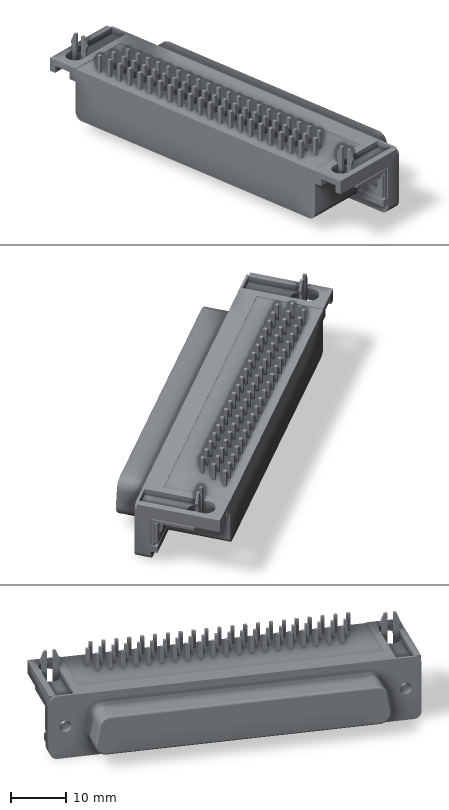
import cadquery as cq
import math

LENGTH = 69.4
HEIGHT = 12.5
DEPTH = 22.0

FLANGE_REAR = 13.1
FLANGE_FRONT = 16.2
FLANGE_BOTTOM_RADIUS = 1.4
FACEPLATE_THICKNESS = 0.5
FACEPLATE_TOP_RADIUS = 1.25

BODY_LENGTH = 57.2
BODY_BOTTOM = 2.1
BODY_RADIUS = 1.4
WING_BOTTOM = 9.8
LEDGE_TOP = BODY_BOTTOM + BODY_RADIUS
LEDGE_REAR = 11.9

STEP_DEPTH = 0.15
STEP_FRONT = 12.55

SHELL_BOTTOM = 2.5
SHELL_TOP = 10.1
SHELL_HALF_LENGTH = 27.6
SHELL_RADIUS = 2.1
SHELL_SIDE_ANGLE = 10.0
SHELL_LIP_RADIUS = 0.4
SHELL_ROOT_RADIUS = 0.5

LOCK_X = 31.8
LOCK_HOLE_Z = 6.3
LOCK_HOLE_RADIUS = 1.45
FLANGE_HOLE_RADIUS = 1.1
CHANNEL_WIDTH = 3.5
CHANNEL_TOP = 11.25
RECESS_FLOOR = 11.2
SLOT_REAR = 1.8
SLOT_FRONT = 7.15
LOCK_WIDTH = 5.55
LOCK_SHEET = 0.6
LOCK_TOP = 9.5
PAD_THICKNESS = 0.55
PAD_WIDTH = 5.4
PAD_CORNER = 0.35
PAD_LIFT = 0.2
PRONG_REAR = 4.5
PRONG_THICKNESS = 0.55
PRONG_STEP = 0.4
PRONG_TIP = 16.3
PRONG_GAP = 1.2
PRONG_SHANK_X = 1.6
PRONG_BARB_X = 1.9
PRONG_TIP_X = 1.1
BARB_START = 13.3
BARB_PEAK = 14.45

PIN_SIZE = 0.6
PIN_TOP = 15.8
PIN_FIELD_LENGTH = 49.35
PIN_ROW_SPACING = 2.5
PIN_REAR_ROW_Y = 2.15
PIN_ROW_COUNTS = (21, 21, 20)
PIN_PITCH = PIN_FIELD_LENGTH / (PIN_ROW_COUNTS[0] - 0.5)
PIN_ROOT = 0.7


def block(x0, x1, y0, y1, z0, z1):
    """Box between two corners."""
    return cq.Workplane("XY").box(x1 - x0, y1 - y0, z1 - z0, centered=False).translate((x0, y0, z0))


def both_ends(make):
    """Feature built at the -X end, joined with its mirror image at the +X end."""
    left = make()
    return left.union(left.mirror("YZ"))


def make_flange():
    half = LENGTH / 2
    flange = block(-half, half, FLANGE_REAR, FLANGE_FRONT - FACEPLATE_THICKNESS, 0, HEIGHT)
    flange = flange.edges("|Y and <Z").fillet(FLANGE_BOTTOM_RADIUS)
    faceplate = block(-half, half, FLANGE_FRONT - FACEPLATE_THICKNESS, FLANGE_FRONT, 0, HEIGHT)
    faceplate = faceplate.edges("|Y and <Z").fillet(FLANGE_BOTTOM_RADIUS)
    faceplate = faceplate.edges("|Y and >Z").fillet(FACEPLATE_TOP_RADIUS)
    return flange.union(faceplate)


def make_body():
    half = BODY_LENGTH / 2
    body = block(-half, half, 0, FLANGE_REAR, BODY_BOTTOM, HEIGHT)
    body = body.edges("|Y and <Z").fillet(BODY_RADIUS)
    wings = block(-LENGTH / 2, LENGTH / 2, 0, FLANGE_REAR, WING_BOTTOM, HEIGHT)
    ledge = block(-LENGTH / 2, LENGTH / 2, LEDGE_REAR, FLANGE_REAR, BODY_BOTTOM, LEDGE_TOP)
    step = block(-half, half, 0, STEP_FRONT, HEIGHT - STEP_DEPTH, HEIGHT)
    return body.union(wings).union(ledge).cut(step)


def shell_outline(y):
    """D outline in the plane at y: wide at the bottom, sides leaning inwards, four equal corner arcs."""
    lean = math.radians(SHELL_SIDE_ANGLE)
    low_z = SHELL_BOTTOM + SHELL_RADIUS
    high_z = SHELL_TOP - SHELL_RADIUS
    low_x = SHELL_HALF_LENGTH - SHELL_RADIUS
    high_x = low_x - (high_z - low_z) * math.tan(lean)

    def on_arc(center_x, center_z, degrees, side):
        angle = math.radians(degrees)
        x = center_x + SHELL_RADIUS * math.cos(angle)
        z = center_z + SHELL_RADIUS * math.sin(angle)
        return (side * x, z)

    def low(degrees, side):
        return on_arc(low_x, low_z, degrees, side)

    def high(degrees, side):
        return on_arc(high_x, high_z, degrees, side)

    tangent = SHELL_SIDE_ANGLE
    plane = cq.Plane(origin=(0, y, 0), xDir=(1, 0, 0), normal=(0, -1, 0))
    return (
        cq.Workplane(plane)
        .moveTo(*low(-90, -1))
        .lineTo(*low(-90, 1))
        .threePointArc(low(-45, 1), low(tangent, 1))
        .lineTo(*high(tangent, 1))
        .threePointArc(high(45, 1), high(90, 1))
        .lineTo(*high(90, -1))
        .threePointArc(high(45, -1), high(tangent, -1))
        .lineTo(*low(tangent, -1))
        .threePointArc(low(-45, -1), low(-90, -1))
        .close()
    )


def make_shell():
    shell = shell_outline(DEPTH).extrude(DEPTH - FLANGE_FRONT)
    return shell.faces(">Y").edges().fillet(SHELL_LIP_RADIUS)


def make_flange_with_shell():
    """Flange and shell joined by a concave fillet all around the root of the shell."""
    root_margin = 0.1
    root_box = cq.selectors.BoxSelector(
        (-LENGTH / 2 + FLANGE_BOTTOM_RADIUS, FLANGE_FRONT - root_margin, root_margin),
        (LENGTH / 2 - FLANGE_BOTTOM_RADIUS, FLANGE_FRONT + root_margin, HEIGHT - root_margin),
        boundingbox=True,
    )
    joined = make_flange().union(make_shell())
    return joined.edges(root_box).fillet(SHELL_ROOT_RADIUS)


def make_wing_cuts():
    """Lock slot, channel under the wing up to the round front of the slot, and recess on top."""
    x0 = -LOCK_X - CHANNEL_WIDTH / 2
    x1 = -LOCK_X + CHANNEL_WIDTH / 2
    recess_front = FLANGE_FRONT - FACEPLATE_THICKNESS
    slot_middle = (SLOT_REAR + SLOT_FRONT) / 2
    channel = block(x0, x1, 0, SLOT_FRONT - CHANNEL_WIDTH / 2, WING_BOTTOM, CHANNEL_TOP)
    recess = block(x0, x1, SLOT_REAR + CHANNEL_WIDTH / 2, recess_front, RECESS_FLOOR, HEIGHT)
    slot = (
        cq.Workplane("XY", origin=(-LOCK_X, slot_middle, WING_BOTTOM))
        .slot2D(SLOT_FRONT - SLOT_REAR, CHANNEL_WIDTH, 90)
        .extrude(HEIGHT - WING_BOTTOM)
    )
    return channel.union(recess).union(slot)


def make_prong():
    """Left prong of a lock: straight inner edge, outer edge bulging to a barb."""
    inner = -PRONG_GAP / 2
    root_z = LOCK_TOP - LOCK_SHEET
    outline = [
        (inner, root_z),
        (-PRONG_SHANK_X, root_z),
        (-PRONG_SHANK_X, BARB_START),
        (-PRONG_BARB_X, BARB_PEAK),
        (-PRONG_TIP_X, PRONG_TIP),
        (inner, PRONG_TIP),
    ]
    plane = cq.Workplane("XZ", origin=(0, PRONG_REAR, 0))
    return plane.polyline(outline).close().extrude(-PRONG_THICKNESS)


def make_lock():
    """L-shaped sheet bracket with a nut pad on its upright leg and two prongs on its arm."""
    half = LOCK_WIDTH / 2
    pad_rear = FLANGE_REAR - LOCK_SHEET - PAD_THICKNESS
    leg = block(-half, half, FLANGE_REAR - LOCK_SHEET, FLANGE_REAR, LEDGE_TOP, LOCK_TOP)
    arm = block(-half, half, PRONG_REAR + PRONG_STEP, FLANGE_REAR, LOCK_TOP - LOCK_SHEET, LOCK_TOP)
    pad = block(
        -PAD_WIDTH / 2, PAD_WIDTH / 2,
        pad_rear, FLANGE_REAR - LOCK_SHEET,
        LEDGE_TOP + PAD_LIFT, LOCK_TOP - LOCK_SHEET,
    )
    pad = pad.edges("|Y").chamfer(PAD_CORNER)
    prong = make_prong()
    lock = leg.union(arm).union(pad).union(prong).union(prong.mirror("YZ"))
    return lock.translate((-LOCK_X, 0, 0))


def make_screw_hole():
    """Screw hole, wide through the lock and narrower through the flange."""
    hole_axis = cq.Workplane("XZ", origin=(-LOCK_X, 0, LOCK_HOLE_Z))
    through_lock = hole_axis.circle(LOCK_HOLE_RADIUS).extrude(-FLANGE_REAR)
    through_flange = hole_axis.circle(FLANGE_HOLE_RADIUS).extrude(-FLANGE_FRONT)
    return through_lock.union(through_flange)


def make_pins():
    """Staggered rows, each shifted half a pitch in +X from the row behind it."""
    first_x = -PIN_FIELD_LENGTH / 2
    points = []
    for row, count in enumerate(PIN_ROW_COUNTS):
        for i in range(count):
            points.append((first_x + (i + row / 2) * PIN_PITCH, PIN_REAR_ROW_Y + row * PIN_ROW_SPACING))
    base = HEIGHT - PIN_ROOT
    return (
        cq.Workplane("XY", origin=(0, 0, base))
        .pushPoints(points)
        .rect(PIN_SIZE, PIN_SIZE)
        .extrude(PIN_TOP - base)
    )


result = make_flange_with_shell().union(make_body())
result = result.cut(both_ends(make_wing_cuts))
result = result.union(both_ends(make_lock)).cut(both_ends(make_screw_hole))
result = result.union(make_pins())